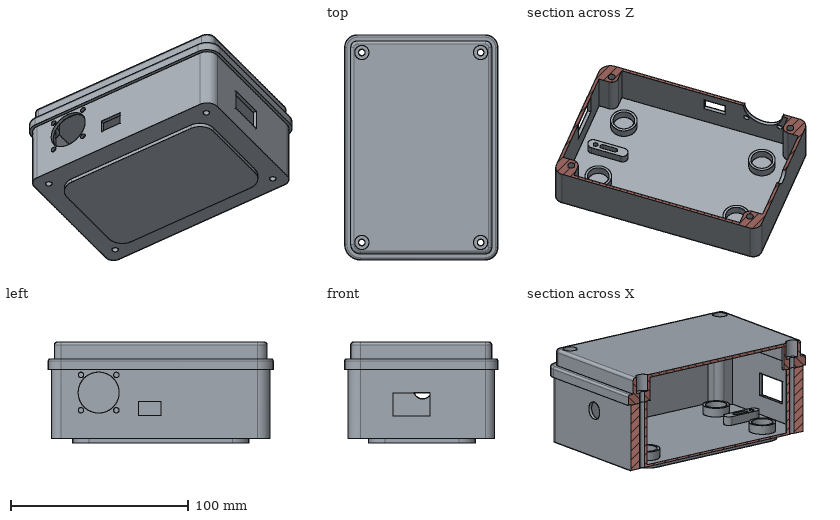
import cadquery as cq
box_width = 82.9
box_length = 123.3
flange_overhang = 1.8
lid_inset = 1.6
foot_height = 2.5
seam_height = 41.4
flange_top = 47.5
total_height = 57.0
small_corner = 5.3
large_corner = 7.1
flange_round = 1.3
lid_round = 1.8

wall = 2.0
floor_top = 4.0

foot_width = 60.4
foot_length = 99.5
foot_corner = 9.3
foot_x = 0.4

screw_x = 33.5
screw_y = 53.5
screw_hole = 3.5
screw_head = 8.0
screw_spots = [(x, y) for x in (-screw_x, screw_x) for y in (-screw_y, screw_y)]
column_round = screw_head / 2
lid_column = screw_head + 2 * wall

post_outer = 15.0
post_bore = 12.0
post_height = 5.1
post_spacing_x = 42.4
post_spacing_y = 82.7
post_center_y = -0.3

boss_width = 6.0
boss_height = 5.1
boss_x = 0.8
boss_hole = 2.5
boss_hole_y = -50.8
boss_end_offset = 1.5
boss_centers = 17.8
boss_slot_offset = 4.0
boss_slot_centers = 7.6

socket_width = 20.7
socket_height = 13.1
socket_left = -15.9
socket_bottom = 15.2

port_length = 12.7
port_height = 7.9
port_start = -0.3
port_bottom = 15.6
fan_y = 35.0
fan_z = 28.4
fan_hole = 23.1
fan_screw_spacing = 19.9
fan_screw_hole = 3.0

cable_hole = 10.0
cable_x = 0.8
cable_z = 30.0


def level(z):
    """Horizontal workplane at height z."""
    return cq.Workplane("XY", origin=(0, 0, z))


def cylinders(spots, diameter, bottom, top):
    """Upright cylinders of one diameter at each (x, y) spot."""
    return level(bottom).pushPoints(spots).circle(diameter / 2).extrude(top - bottom)


def slot_along_y(x, start, centers, width, bottom, top):
    """Round-ended bar along Y; its first end is centred at y = start."""
    plan = level(bottom).center(x, start + centers / 2)
    return plan.slot2D(centers + width, width, 90).extrude(top - bottom)


def rounded_block(growth, bottom, top):
    """Box outline grown all round; the corner at -X, -Y is rounder than the other three."""
    width = box_width + 2 * growth
    length = box_length + 2 * growth
    block = level(bottom).rect(width, length).extrude(top - bottom)
    block = block.edges("|Z and (>X or >Y)").fillet(small_corner + growth)
    large_edge = cq.selectors.NearestToPointSelector((-width / 2, -length / 2, (bottom + top) / 2))
    return block.edges(large_edge).fillet(large_corner + growth)


def lid_cavity():
    """Hollow under the lid, leaving a column round each screw."""
    cavity = rounded_block(-lid_inset - wall, seam_height, total_height - wall)
    return cavity.cut(cylinders(screw_spots, lid_column, seam_height, total_height))


def make_lid():
    flange = rounded_block(flange_overhang, seam_height, flange_top)
    flange = flange.faces(">Z").edges().fillet(flange_round)
    cap = rounded_block(-lid_inset, seam_height, total_height)
    cap = cap.faces(">Z").edges().fillet(lid_round)
    lid = flange.union(cap).cut(lid_cavity())
    lid = lid.cut(cylinders(screw_spots, screw_hole, seam_height, total_height))
    return lid.cut(cylinders(screw_spots, screw_head, flange_top, total_height))


def screw_column(x, y):
    """Full-height block filling the corner, with its inner edge rounded about the screw."""
    side_x = 1 if x > 0 else -1
    side_y = 1 if y > 0 else -1
    inner_x = abs(x) - column_round
    inner_y = abs(y) - column_round
    width = box_width / 2 - inner_x
    length = box_length / 2 - inner_y
    plan = level(floor_top).center(side_x * (inner_x + width / 2), side_y * (inner_y + length / 2))
    column = plan.rect(width, length).extrude(seam_height - floor_top)
    middle = (floor_top + seam_height) / 2
    inner_edge = cq.selectors.NearestToPointSelector((side_x * inner_x, side_y * inner_y, middle))
    return column.edges(inner_edge).fillet(column_round)


def box_cavity():
    cavity = rounded_block(-wall, floor_top, seam_height)
    for x, y in screw_spots:
        cavity = cavity.cut(screw_column(x, y))
    return cavity


def foot_plate():
    plate = level(0).center(foot_x, 0).rect(foot_width, foot_length).extrude(foot_height)
    return plate.edges("|Z").fillet(foot_corner)


def ring_posts():
    top = floor_top + post_height
    spots = [
        (foot_x + side_x * post_spacing_x / 2, post_center_y + side_y * post_spacing_y / 2)
        for side_x in (-1, 1)
        for side_y in (-1, 1)
    ]
    return cylinders(spots, post_outer, floor_top, top).cut(cylinders(spots, post_bore, floor_top, top))


def slotted_boss():
    top = floor_top + boss_height
    end_y = boss_hole_y - boss_end_offset
    slot_y = boss_hole_y + boss_slot_offset
    boss = slot_along_y(boss_x, end_y, boss_centers, boss_width, floor_top, top)
    boss = boss.cut(slot_along_y(boss_x, slot_y, boss_slot_centers, boss_hole, floor_top, top))
    return boss.cut(cylinders([(boss_x, boss_hole_y)], boss_hole, floor_top, top))


def socket_window():
    window = cq.Workplane("XY").box(socket_width, wall, socket_height, centered=False)
    return window.translate((socket_left, -box_length / 2, socket_bottom))


def port_window():
    window = cq.Workplane("XY").box(wall, port_length, port_height, centered=False)
    return window.translate((-box_width / 2, port_start, port_bottom))


def fan_opening():
    """Large round hole with four screw holes on a square around it."""
    face = cq.Workplane("YZ", origin=(-box_width / 2, fan_y, fan_z))
    opening = face.circle(fan_hole / 2).extrude(wall)
    screws = face.rarray(fan_screw_spacing, fan_screw_spacing, 2, 2).circle(fan_screw_hole / 2)
    return opening.union(screws.extrude(wall))


def cable_opening():
    face = cq.Workplane("XZ", origin=(cable_x, box_length / 2, cable_z))
    return face.circle(cable_hole / 2).extrude(wall)


def make_box():
    box = rounded_block(0, foot_height, seam_height).cut(box_cavity())
    for addition in (foot_plate(), ring_posts(), slotted_boss()):
        box = box.union(addition)
    for opening in (socket_window(), port_window(), fan_opening(), cable_opening()):
        box = box.cut(opening)
    return box.cut(cylinders(screw_spots, screw_hole, 0, seam_height))


lid = make_lid()
box = make_box()
result = cq.Compound.makeCompound([box.solids().val(), lid.solids().val()])